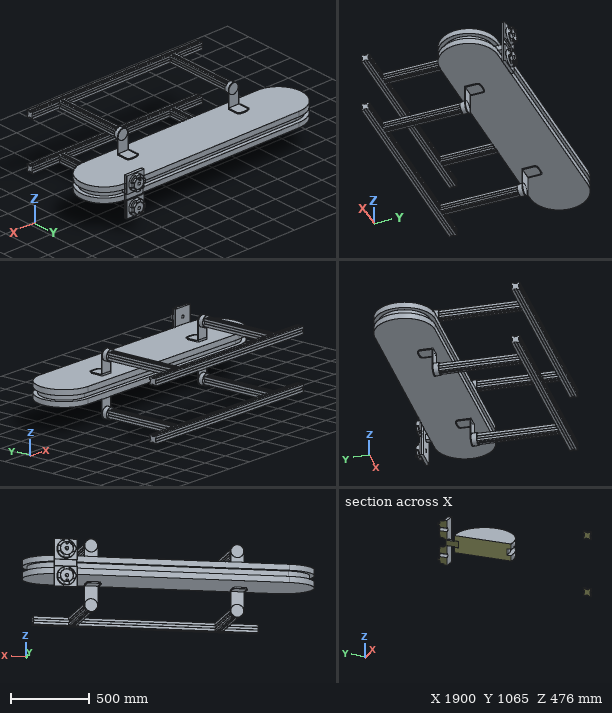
import cadquery as cq

deck_length = 1900.0
deck_width = 399.0
layer_height = 40.0
groove_depth = 30.0
core_length = deck_length - 2 * groove_depth
core_width = deck_width - 2 * groove_depth
deck_top = 1.5 * layer_height

profile_size = 53.0
slot_width = 17.0
slot_depth = 5.0
rail_length = 1467.0
rail_front_y = -752.0
rail_back_y = rail_front_y + profile_size
rail_z = 194.0

bracket_x = 477.0
upright_radius = 44.0
cap_radius = 42.0
cap_length = 35.0
upright_width = 2 * upright_radius
upright_thickness = 5.0
upright_back_y = -120.0
upright_front_y = upright_back_y - upright_thickness
cap_front_y = upright_front_y - cap_length
pad_height = 10.0
pad_back_y = -23.0
sole_thickness = 2.0
sole_overhang = 5.0
sole_width = upright_width + 2 * sole_overhang
sole_back_y = pad_back_y + sole_overhang
foot_bulge = 5.0
foot_corner_radius = 19.0

holder_x = 724.0
stem_size = layer_height
plate_width = 146.0
plate_height = 310.0
plate_thickness = 11.0
plate_front_y = 247.0
plate_back_y = plate_front_y + plate_thickness
flange_width = 148.0
flange_height = 133.0
flange_thickness = 11.0
flange_back_y = plate_back_y + flange_thickness
bearing_z = (plate_height - flange_height) / 2
housing_radius = 59.0
housing_length = 28.0
housing_back_y = flange_back_y + housing_length
tab_width = 35.0
tab_length = 13.0
notch_size = housing_radius - tab_width / 2
notch_offset = (housing_radius + tab_width / 2) / 2
ring_radius = 42.0
ring_length = 5.0
ring_back_y = housing_back_y + ring_length
bore_radius = 10.5
pin_radius = 6.6
pin_length = 11.0
pin_offset = 32.0


def box_between(x_range, y_range, z_range):
    """Box given by its lower and upper limits along each axis."""
    (x0, x1), (y0, y1), (z0, z1) = x_range, y_range, z_range
    return cq.Workplane("XY").box(x1 - x0, y1 - y0, z1 - z0, centered=False).translate((x0, y0, z0))


def span(size, middle=0.0):
    """Lower and upper limit of a size centred on a middle."""
    return middle - size / 2, middle + size / 2


def cylinder_along_y(x, z, radius, start_y, end_y):
    """Cylinder whose axis runs along +Y."""
    return cq.Workplane("XZ", origin=(x, start_y, z)).circle(radius).extrude(start_y - end_y)


def deck():
    """Two wide layers with a narrower core between them, leaving a groove all round."""
    core = cq.Workplane("XY").slot2D(core_length, core_width).extrude(layer_height / 2, both=True)
    layer = cq.Workplane("XY").slot2D(deck_length, deck_width).extrude(layer_height)
    upper = layer.translate((0, 0, layer_height / 2))
    lower = layer.translate((0, 0, -deck_top))
    return core.union(upper).union(lower)


def slotted_profile(length):
    """Square bar along +Z from the origin, with a slot along the middle of each side."""
    bar = cq.Workplane("XY").rect(profile_size, profile_size).extrude(length)
    slot_middle = (profile_size - slot_depth) / 2
    slot = cq.Workplane("XY").center(slot_middle, 0).rect(slot_depth, slot_width).extrude(length)
    for turn in range(4):
        bar = bar.cut(slot.rotate((0, 0, 0), (0, 0, 1), 90 * turn))
    return bar


def guide_rail():
    """Profile along X, carried in front of the deck."""
    rail = slotted_profile(rail_length).rotate((0, 0, 0), (0, 1, 0), 90)
    return rail.translate((-rail_length / 2, rail_front_y + profile_size / 2, rail_z))


def foot_layer(width, front_y, back_y, thickness):
    """Flat tongue with a slightly bulged, rounded back end."""
    corner_y = back_y - foot_bulge
    return (
        cq.Workplane("XY")
        .moveTo(-width / 2, front_y)
        .lineTo(-width / 2, corner_y)
        .threePointArc((0, back_y), (width / 2, corner_y))
        .lineTo(width / 2, front_y)
        .close()
        .extrude(thickness)
        .edges("|Z").edges(">Y")
        .fillet(foot_corner_radius)
    )


def bracket():
    """Foot, round-topped upright and cap, at X = 0 on top of the deck."""
    pad = foot_layer(upright_width, upright_front_y, pad_back_y, pad_height).translate((0, 0, deck_top))
    sole = (
        foot_layer(sole_width, upright_back_y, sole_back_y, sole_thickness)
        .edges("|Z").edges("<Y")
        .chamfer(sole_overhang)
        .translate((0, 0, deck_top + pad_height))
    )
    upright = box_between(span(upright_width), (upright_front_y, upright_back_y), (deck_top, rail_z))
    round_top = cylinder_along_y(0, rail_z, upright_radius, upright_front_y, upright_back_y)
    cap = cylinder_along_y(0, rail_z, cap_radius, cap_front_y, upright_front_y)
    return pad.union(sole).union(upright).union(round_top).union(cap)


def arm():
    """Profile along Y from the guide rail to the cap, at X = 0."""
    bar = slotted_profile(cap_front_y - rail_back_y).rotate((0, 0, 0), (1, 0, 0), -90)
    return bar.translate((0, rail_back_y, rail_z))


def guide_frame():
    """One guide rail with its two arms and brackets, above the deck."""
    frame = guide_rail()
    support = bracket().union(arm())
    for x in (-bracket_x, bracket_x):
        frame = frame.union(support.translate((x, 0, 0)))
    return frame


def conveyor():
    """Deck with a guide frame above it and its mirror image below."""
    upper_frame = guide_frame()
    return deck().union(upper_frame).union(upper_frame.mirror("XY"))


def bearing():
    """Flanged bearing on the upper half of the plate, with four tabs round its ring."""
    x_middle, z_middle = holder_x, bearing_z
    flange = box_between(
        span(flange_width, x_middle), (plate_back_y, flange_back_y), span(flange_height, z_middle)
    )
    housing = cylinder_along_y(x_middle, z_middle, housing_radius, flange_back_y, housing_back_y)
    notch_floor_y = housing_back_y - tab_length
    for x_side in (-1, 1):
        for z_side in (-1, 1):
            notch = box_between(
                span(notch_size, x_middle + x_side * notch_offset),
                (notch_floor_y, housing_back_y),
                span(notch_size, z_middle + z_side * notch_offset),
            )
            housing = housing.cut(notch)
    ring = cylinder_along_y(x_middle, z_middle, ring_radius, notch_floor_y, ring_back_y)
    pin = cylinder_along_y(x_middle, z_middle + pin_offset, pin_radius, ring_back_y, ring_back_y + pin_length)
    return flange.union(housing).union(ring).union(pin)


def bearing_holder():
    """Stem that meets the core in the groove, plate and two mirrored bearings with through bores."""
    stem = box_between(span(stem_size, holder_x), (core_width / 2, plate_front_y), span(stem_size))
    plate = box_between(span(plate_width, holder_x), (plate_front_y, plate_back_y), span(plate_height))
    upper_bearing = bearing()
    holder = stem.union(plate).union(upper_bearing).union(upper_bearing.mirror("XY"))
    for z in (-bearing_z, bearing_z):
        holder = holder.cut(cylinder_along_y(holder_x, z, bore_radius, plate_front_y, ring_back_y))
    return holder


result = cq.Compound.makeCompound([conveyor().val(), bearing_holder().val()])